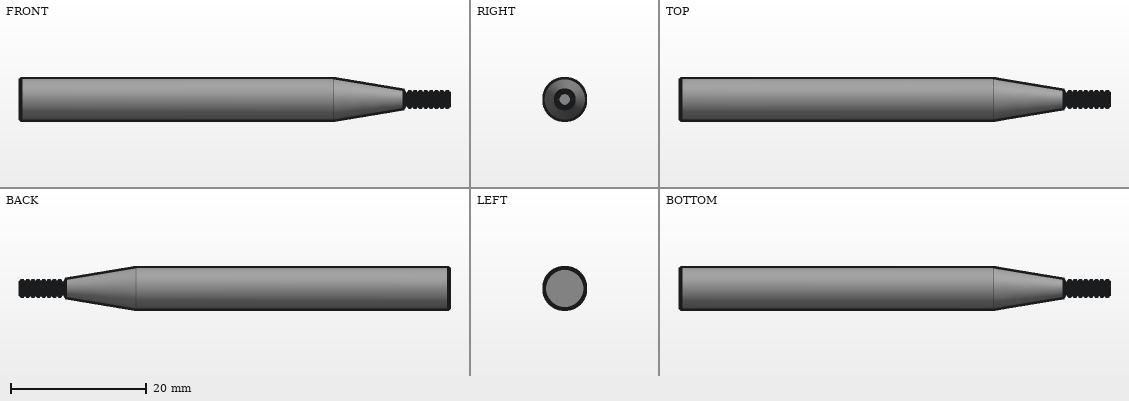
import cadquery as cq

length = 63.5
shank_radius = 3.2
shank_chamfer = 0.25
taper_start = 46.35
taper_end = 56.65
taper_end_radius = 1.45
shoulder_length = 0.3

ridge_count = 8
ridge_span = 5.5
ridge_pitch = ridge_span / (ridge_count - 1)
crest_radius = 1.3
root_radius = 0.9
crest_width = 0.1
flank_length = 0.25
tip_chamfer = 0.3

start_x = -length / 2
end_x = length / 2
last_crest_x = end_x - tip_chamfer - crest_width / 2
first_crest_x = last_crest_x - ridge_span


def ridge_points(crest_x):
    """Half-section of one ridge, from its left root to its right crest edge and root."""
    half_crest = crest_width / 2
    half_base = half_crest + flank_length
    return [
        (crest_x - half_base, root_radius),
        (crest_x - half_crest, crest_radius),
        (crest_x + half_crest, crest_radius),
        (crest_x + half_base, root_radius),
    ]


shank_and_nose = [
    (start_x, 0),
    (start_x, shank_radius - shank_chamfer),
    (start_x + shank_chamfer, shank_radius),
    (start_x + taper_start, shank_radius),
    (start_x + taper_end, taper_end_radius),
    (start_x + taper_end + shoulder_length, root_radius),
]

stud = []
for index in range(ridge_count):
    stud += ridge_points(first_crest_x + index * ridge_pitch)

stud[-1] = (end_x, crest_radius - tip_chamfer)
stud.append((end_x, 0))

result = (
    cq.Workplane("XZ")
    .polyline(shank_and_nose + stud)
    .close()
    .revolve(360, (0, 0, 0), (1, 0, 0))
)